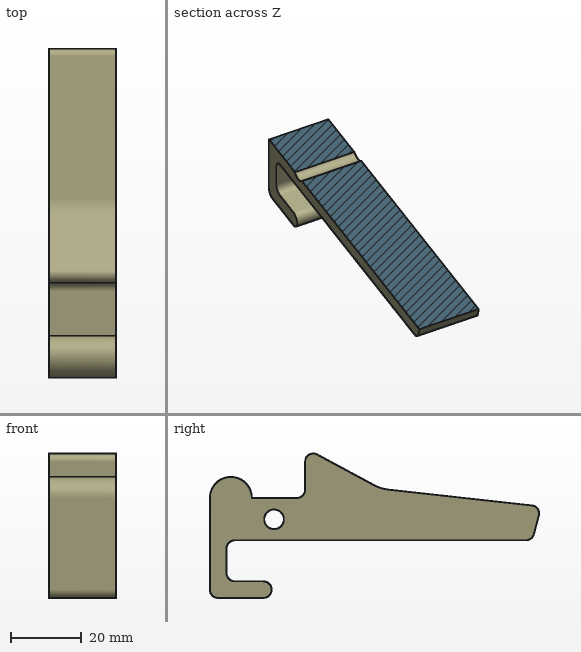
import cadquery as cq
import math

width = 19.0
length = 93.3
height = 41.0

wall = 4.8
hook_reach = 17.5
bar_bottom = 16.3
saddle_height = 28.4
bump_radius = 6.0
peak_face_y = 27.0

ramp_angle = math.radians(28.3)
lever_angle = math.radians(6.3)
tip_angle = math.radians(15)
bend_y = 48.4
corner_radius = 2.3
bend_radius = 11.9

hole_diameter = 5.5
hole_y = 18.2
hole_z = 22.3


def tangent_corners():
    """Sharp corners of the lever, placed so its rounded peak and tip meet the outer size."""
    r = corner_radius

    ramp_y = peak_face_y + r + r * math.sin(ramp_angle)
    ramp_z = height - r + r * math.cos(ramp_angle)
    ramp_slope = math.tan(ramp_angle)
    peak = (peak_face_y, ramp_z + (ramp_y - peak_face_y) * ramp_slope)
    bend = (bend_y, ramp_z - (bend_y - ramp_y) * ramp_slope)

    lever_slope = math.tan(lever_angle)
    center_y = length - r
    center_z = bend[1] - (center_y - bend_y) * lever_slope - r / math.cos(lever_angle)
    face_y = center_y + r * math.cos(tip_angle)
    face_z = center_z - r * math.sin(tip_angle)
    tip_slope = math.tan(tip_angle)
    lever_z_at_face = bend[1] - (face_y - bend_y) * lever_slope
    rise = (lever_z_at_face - face_z) / (1 + lever_slope * tip_slope)
    tip_top = (face_y + rise * tip_slope, face_z + rise)
    tip_bottom = (face_y - (face_z - bar_bottom) * tip_slope, bar_bottom)
    return peak, bend, tip_top, tip_bottom


def make_body():
    """Extruded side outline with sharp corners, except for the bump and hook end."""
    hook_end_y = hook_reach - wall / 2
    return (
        cq.Workplane("YZ", origin=(-width / 2, 0, 0))
        .moveTo(0, 0)
        .lineTo(0, saddle_height)
        .threePointArc((bump_radius, saddle_height + bump_radius), (2 * bump_radius, saddle_height))
        .lineTo(*saddle_corner)
        .lineTo(*peak)
        .lineTo(*bend)
        .lineTo(*tip_top)
        .lineTo(*tip_bottom)
        .lineTo(*slot_top)
        .lineTo(*slot_bottom)
        .lineTo(hook_end_y, wall)
        .threePointArc((hook_reach, wall / 2), (hook_end_y, 0))
        .close()
        .extrude(width)
    )


def round_corner(body, corner, radius):
    """Round the edge across the width at a (Y, Z) corner."""
    edge = cq.selectors.NearestToPointSelector((0, *corner))
    return body.edges("|X").edges(edge).fillet(radius)


peak, bend, tip_top, tip_bottom = tangent_corners()
hook_corner = (0, 0)
saddle_corner = (peak_face_y, saddle_height)
slot_top = (wall, bar_bottom)
slot_bottom = (wall, wall)

result = make_body()
for corner in (hook_corner, saddle_corner, peak, tip_top, tip_bottom, slot_top, slot_bottom):
    result = round_corner(result, corner, corner_radius)
result = round_corner(result, bend, bend_radius)

pivot_hole = (
    cq.Workplane("YZ", origin=(-width / 2, 0, 0))
    .center(hole_y, hole_z)
    .circle(hole_diameter / 2)
    .extrude(width)
)
result = result.cut(pivot_hole)